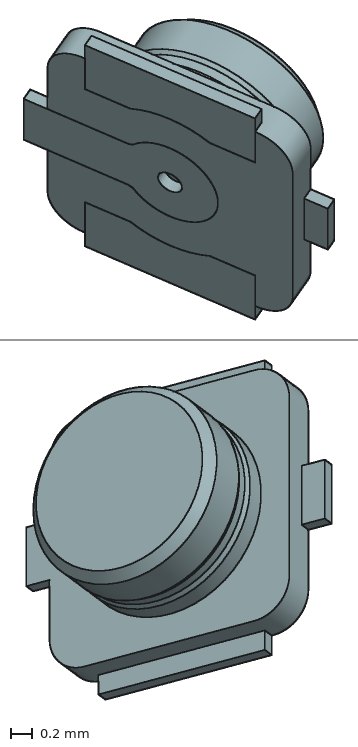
import cadquery as cq
import math

total_length = 3.1
total_depth = 1.25
total_height = 3.0

base_side = 2.598
base_corner_radius = 0.378
base_top = 0.347

contact_step = 0.0015
contact_thickness = 0.127
strip_width = 0.61
disc_radius = 0.508
strip_fillet = 0.1
pin_hole_diameter = 0.255

pad_width = 1.8
pad_inner_offset = 0.843
pad_arc_radius = 0.942

barrel_radius = 1.987 / 2
groove_radius = 1.94 / 2
groove_start = 0.545
groove_floor_start = 0.6
groove_floor_end = 0.7
groove_end = 0.75
rim_chamfer_radial = 0.093
rim_chamfer_axial = 0.102


def sketch_plane(y):
    """XZ plane at height y whose positive extrusion runs along +Y."""
    return cq.Workplane(cq.Plane((0, y, 0), xDir=(1, 0, 0), normal=(0, 1, 0)))


def block(x_start, x_end, y_start, y_end, height):
    """Rectangular block centred on Z = 0."""
    size = (x_end - x_start, y_end - y_start, height)
    return (
        cq.Workplane("XY")
        .box(*size)
        .translate(((x_start + x_end) / 2, (y_start + y_end) / 2, 0))
    )


def make_base():
    half = base_side / 2
    base = block(-half, half, contact_step, base_top, base_side)
    return base.edges("|Y").fillet(base_corner_radius)


def make_barrel():
    profile = [
        (0, base_top),
        (barrel_radius, base_top),
        (barrel_radius, groove_start),
        (groove_radius, groove_floor_start),
        (groove_radius, groove_floor_end),
        (barrel_radius, groove_end),
        (barrel_radius, total_depth - rim_chamfer_axial),
        (barrel_radius - rim_chamfer_radial, total_depth),
        (0, total_depth),
    ]
    return cq.Workplane("XY").polyline(profile).close().revolve(360, (0, 0, 0), (0, 1, 0))


def make_signal_contact():
    """Strip running in from -X, ending in a disc around the axis."""
    strip = block(-total_length / 2, 0, 0, contact_thickness, strip_width)
    disc = sketch_plane(0).circle(disc_radius).extrude(contact_thickness)
    neck_x = -math.sqrt(disc_radius**2 - (strip_width / 2) ** 2)
    margin = strip_fillet / 2
    neck = cq.selectors.BoxSelector(
        (neck_x - margin, -margin, -strip_width),
        (neck_x + margin, contact_thickness + margin, strip_width),
    )
    return strip.union(disc).edges("|Y").edges(neck).fillet(strip_fillet)


def make_ground_pad(side):
    """Pad on the +Z (side = 1) or -Z (side = -1) edge with an arc-shaped relief."""
    pad_height = total_height / 2 - pad_inner_offset
    pad_centre = side * (pad_inner_offset + pad_height / 2)
    pad = block(-pad_width / 2, pad_width / 2, 0, contact_thickness, pad_height)
    relief = sketch_plane(0).circle(pad_arc_radius).extrude(contact_thickness)
    return pad.translate((0, 0, pad_centre)).cut(relief)


def make_side_tab():
    """Tab on the +X side, flush with the top of the base."""
    return block(base_side / 2, total_length / 2, base_top - contact_thickness, base_top, strip_width)


result = make_base().union(make_barrel()).union(make_signal_contact()).union(make_side_tab())
for side in (1, -1):
    result = result.union(make_ground_pad(side))

result = result.cut(sketch_plane(0).circle(pin_hole_diameter / 2).extrude(contact_thickness))